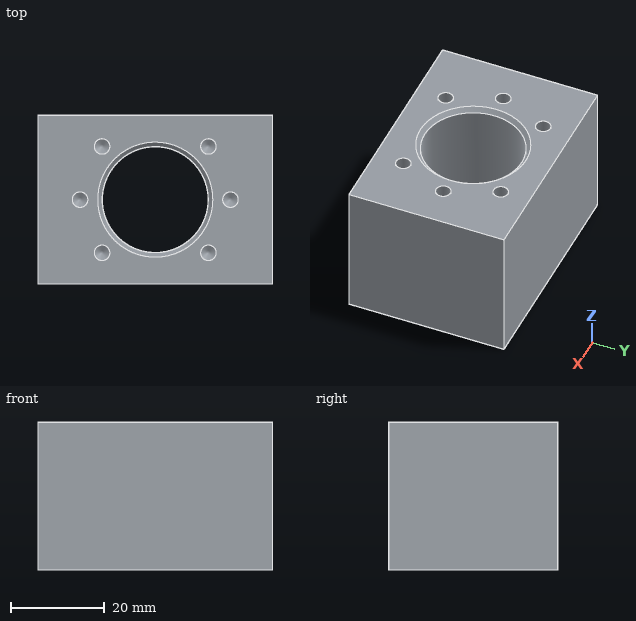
import cadquery as cq
import math

LENGTH = 50.0
WIDTH = 36.0
HEIGHT = 31.5

BORE_DIAMETER = 22.5
BORE_CHAMFER = 1.0

BOLT_CIRCLE_DIAMETER = 32.0
HOLE_ANGLES = (0, 45, 135, 180, 225, 315)
HOLE_DIAMETER = 3.3
HOLE_DEPTH = 10.0
DRILL_POINT_ANGLE = 118.0


def make_block():
    return cq.Workplane("XY").box(LENGTH, WIDTH, HEIGHT, centered=(True, True, False))


def make_bore():
    """Cutter for the through bore and the chamfer at its top."""
    radius = BORE_DIAMETER / 2
    profile = [
        (0, 0),
        (radius, 0),
        (radius, HEIGHT - BORE_CHAMFER),
        (radius + BORE_CHAMFER, HEIGHT),
        (0, HEIGHT),
    ]
    return cq.Workplane("XZ").polyline(profile).close().revolve(360, (0, 0), (0, 1))


def make_drilled_hole(angle):
    """Cutter for one blind hole with a conical bottom, on the bolt circle at the given angle."""
    radius = HOLE_DIAMETER / 2
    point_length = radius / math.tan(math.radians(DRILL_POINT_ANGLE / 2))
    floor = HEIGHT - HOLE_DEPTH
    profile = [
        (0, floor - point_length),
        (radius, floor),
        (radius, HEIGHT),
        (0, HEIGHT),
    ]
    drill = cq.Workplane("XZ").polyline(profile).close().revolve(360, (0, 0), (0, 1))
    return drill.translate((BOLT_CIRCLE_DIAMETER / 2, 0, 0)).rotate((0, 0, 0), (0, 0, 1), angle)


result = make_block().cut(make_bore())
for hole_angle in HOLE_ANGLES:
    result = result.cut(make_drilled_hole(hole_angle))